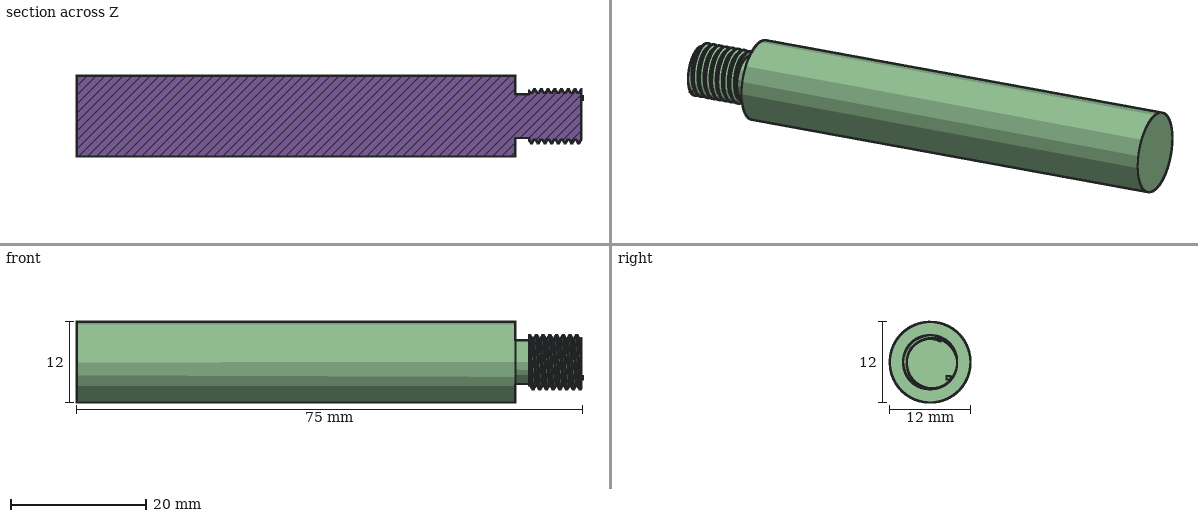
import cadquery as cq
import math

total_length = 75.0
body_diameter = 12.0
body_length = 65.0

neck_diameter = 6.5
neck_length = 2.0

major_diameter = 8.0
minor_diameter = 6.9
pitch = 1.0
turns_swept = 10
last_crest_x = 74.85
flank_half_angle = 30.0
crest_half_width = 0.1
root_overlap = 0.1

tail_height = 0.2
tail_size_y = 0.6
tail_size_z = 0.5
tail_center_y = 2.7
tail_center_z = -2.3

core_start = body_length + neck_length
core_end = total_length - tail_height
core_length = core_end - core_start

minor_radius = minor_diameter / 2
crest_radius = major_diameter / 2
ridge_root_radius = minor_radius - root_overlap
ridge_height = crest_radius - ridge_root_radius
root_half_width = crest_half_width + ridge_height * math.tan(math.radians(flank_half_angle))


def cylinder_along_x(start, length, diameter):
    return cq.Workplane("YZ").workplane(offset=start).circle(diameter / 2).extrude(length)


def make_thread_ridge():
    """Sweep a tapered ridge past both ends of the core and trim it to the core length."""
    helix = cq.Wire.makeHelix(pitch, turns_swept * pitch, ridge_root_radius)
    ridge = (
        cq.Workplane("XZ")
        .polyline([
            (ridge_root_radius, -root_half_width),
            (crest_radius, -crest_half_width),
            (crest_radius, crest_half_width),
            (ridge_root_radius, root_half_width),
        ])
        .close()
        .sweep(cq.Workplane(obj=helix), isFrenet=True)
    )
    sweep_start = last_crest_x - (turns_swept - 1) * pitch
    ridge = ridge.rotate((0, 0, 0), (1, 1, 1), 120).translate((sweep_start, 0, 0))
    return ridge.intersect(cylinder_along_x(core_start, core_length, body_diameter))


def make_thread_tail():
    """Short block on the end face, rooted in the core by its own height."""
    return cq.Workplane("XY").box(2 * tail_height, tail_size_y, tail_size_z).translate(
        (core_end, tail_center_y, tail_center_z)
    )


body = cylinder_along_x(0, body_length, body_diameter)
neck = cylinder_along_x(body_length, neck_length, neck_diameter)
core = cylinder_along_x(core_start, core_length, minor_diameter)

threaded_core = core.union(make_thread_ridge()).union(make_thread_tail())
result = body.union(neck).union(threaded_core)